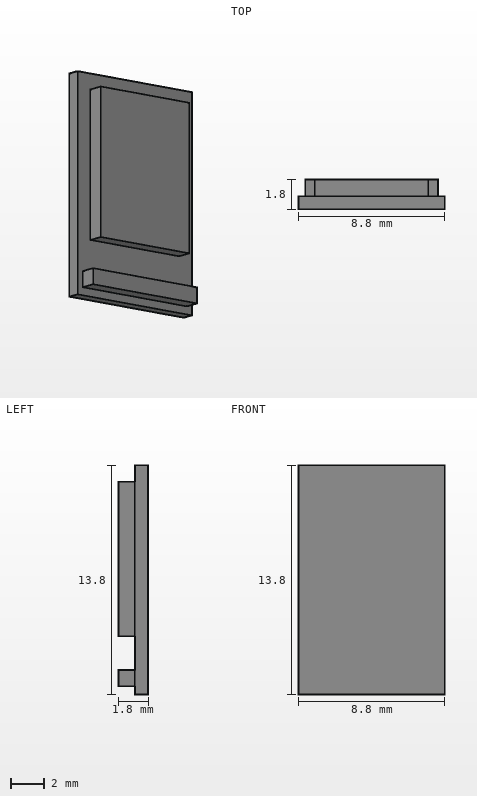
import cadquery as cq

plate_width = 8.8
plate_height = 13.8
plate_thickness = 0.8

raised_depth = 1.0

block_margin = 1.0
block_width = plate_width - 2 * block_margin
block_height = 9.3
block_bottom = plate_height - block_margin - block_height

bar_width = 8.0
bar_height = raised_depth
bar_bottom = 0.5


def centered_box(width, depth, height, front, bottom):
    """Box centered on X, starting at the given front Y and bottom Z."""
    return cq.Workplane("XY").box(width, depth, height, centered=(True, False, False)).translate(
        (0, front, bottom)
    )


plate = centered_box(plate_width, plate_thickness, plate_height, 0, 0)
block = centered_box(block_width, raised_depth, block_height, plate_thickness, block_bottom)
bar = centered_box(bar_width, raised_depth, bar_height, plate_thickness, bar_bottom)

result = plate.union(block).union(bar)